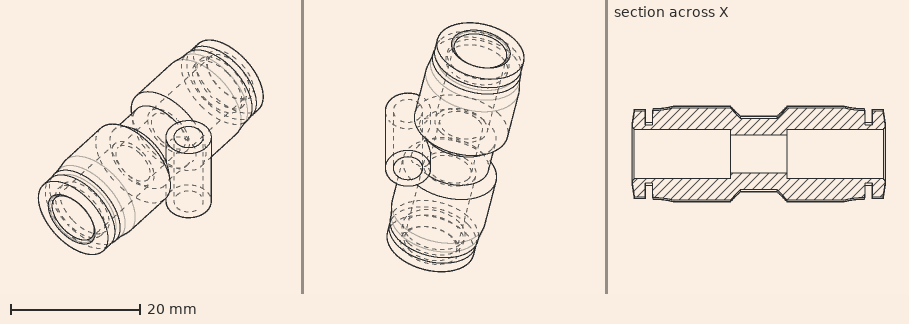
import cadquery as cq


half_length = 19.6
collar_rim_y = 19.25
collar_back_y = 17.52
body_end_y = 16.45
body_rim_y = 16.35
taper_end_y = 15.17
taper_start_y = 13.15
shoulder_y = 4.4

body_diameter = 14.8
taper_diameter = 14.1
body_rim_diameter = 14.0
body_face_diameter = 12.55
collar_diameter = 13.8
collar_neck_diameter = 9.8
waist_diameter = 11.7

mouth_diameter = 9.3
lead_in_diameter = 8.9
tube_bore_diameter = 8.3
through_bore_diameter = 6.8
mouth_depth = 0.1
lead_in_depth = 0.35
tube_stop_y = shoulder_y

eye_diameter = 7.0
eye_hole_diameter = 4.5
eye_height = 14.45
eye_x = 7.5

waist_end_y = shoulder_y - (body_diameter - waist_diameter) / 2


def revolved_both_ends(stations):
    """Revolve about Y the (diameter, y) stations of one end together with their mirror image."""
    outer_end = [(-diameter / 2, y) for diameter, y in stations]
    mirrored_end = [(x, -y) for x, y in reversed(outer_end)]
    last_y = outer_end[-1][1]
    outline = [(0, -last_y)] + mirrored_end + outer_end + [(0, last_y)]
    return cq.Workplane("XY").polyline(outline).close().revolve(360, (0, 0), (0, 1))


def connector_body():
    return revolved_both_ends([
        (waist_diameter, waist_end_y),
        (body_diameter, shoulder_y),
        (body_diameter, taper_start_y),
        (taper_diameter, taper_end_y),
        (body_rim_diameter, body_rim_y),
        (body_face_diameter, body_end_y),
        (collar_neck_diameter, body_end_y),
        (collar_neck_diameter, collar_back_y),
        (collar_diameter, collar_back_y),
        (collar_diameter, collar_rim_y),
        (mouth_diameter, half_length),
    ])


def bores():
    return revolved_both_ends([
        (through_bore_diameter, tube_stop_y),
        (tube_bore_diameter, tube_stop_y),
        (tube_bore_diameter, half_length - lead_in_depth),
        (lead_in_diameter, half_length - mouth_depth),
        (mouth_diameter, half_length),
    ])


def eye_cylinder(diameter):
    base = cq.Workplane("XY", origin=(eye_x, 0, -eye_height / 2))
    return base.circle(diameter / 2).extrude(eye_height)


result = (
    connector_body()
    .union(eye_cylinder(eye_diameter))
    .cut(eye_cylinder(eye_hole_diameter))
    .cut(bores())
)